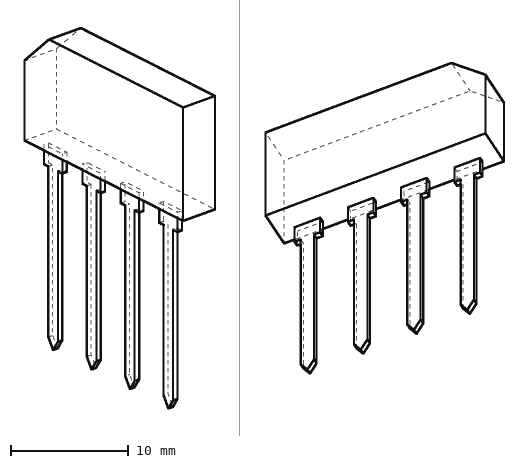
import cadquery as cq

body_length = 20.9
body_depth = 3.55
body_height = 10.7
total_height = 29.6
corner_run = 3.23
corner_drop = 3.15

lead_count = 4
lead_pitch = 5.05
first_lead_inset = 2.87
lead_width = 1.27
lead_thickness = 0.5
lead_front_offset = 0.77
shoulder_width = 2.43
shoulder_height = 1.85
tip_height = 1.0
lead_length = total_height - body_height


def make_body():
    """Block resting on Z = 0 with its upper -X corner cut off."""
    left = -body_length / 2
    right = body_length / 2
    return (
        cq.Workplane("XZ", origin=(0, body_depth / 2, 0))
        .moveTo(left, 0)
        .lineTo(right, 0)
        .lineTo(right, body_height)
        .lineTo(left + corner_run, body_height)
        .lineTo(left, body_height - corner_drop)
        .close()
        .extrude(body_depth)
    )


def make_lead(center_x):
    """Flat pointed lead hanging below the body from a wider shoulder."""
    half_shoulder = shoulder_width / 2
    half_lead = lead_width / 2
    back_face = -lead_front_offset + lead_thickness / 2
    return (
        cq.Workplane("XZ", origin=(center_x, back_face, 0))
        .moveTo(-half_shoulder, 0)
        .lineTo(-half_shoulder, -shoulder_height)
        .lineTo(-half_lead, -shoulder_height)
        .lineTo(-half_lead, tip_height - lead_length)
        .lineTo(0, -lead_length)
        .lineTo(half_lead, tip_height - lead_length)
        .lineTo(half_lead, -shoulder_height)
        .lineTo(half_shoulder, -shoulder_height)
        .lineTo(half_shoulder, 0)
        .close()
        .extrude(lead_thickness)
    )


result = make_body()
for index in range(lead_count):
    lead_x = -body_length / 2 + first_lead_inset + index * lead_pitch
    result = result.union(make_lead(lead_x))